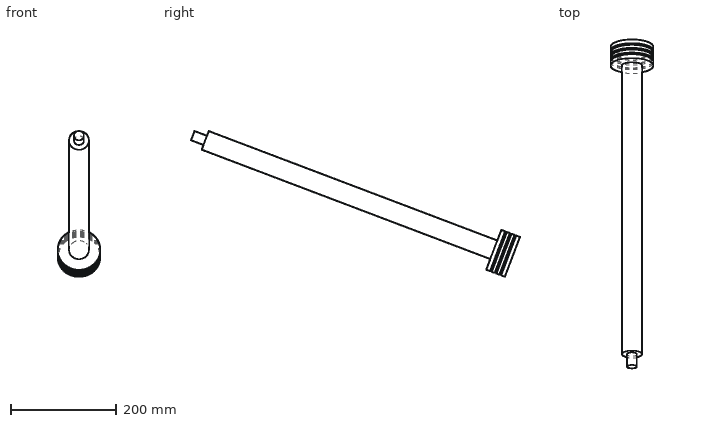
import cadquery as cq

tilt_angle = 20.764
total_length = 649.16
head_diameter = 81.28
head_length = 38.1
rod_diameter = 38.1
spigot_diameter = 19.05
spigot_length = 25.4

groove_count = 3
groove_width = 3.81
groove_depth = 1.905
groove_pitch = head_length / (groove_count + 1)

head_radius = head_diameter / 2
spigot_start = total_length - spigot_length


def cylinder(diameter, start, end):
    """Cylinder on the Z axis between two heights."""
    return cq.Workplane("XY").workplane(offset=start).circle(diameter / 2).extrude(end - start)


def ring_groove(center_height):
    """Ring of triangular section to remove from the rim of the head."""
    section = (
        cq.Workplane("XZ")
        .moveTo(head_radius, center_height - groove_width / 2)
        .lineTo(head_radius - groove_depth, center_height)
        .lineTo(head_radius, center_height + groove_width / 2)
        .close()
    )
    return section.revolve(360, (0, 0, 0), (0, 1, 0))


def make_head():
    """Grooved head with its back face at Z = 0."""
    head = cylinder(head_diameter, 0, head_length)
    for index in range(groove_count):
        head = head.cut(ring_groove((index + 1) * groove_pitch))
    return head


def make_piston():
    """Piston standing upright: head at the bottom, then the rod, then the spigot."""
    rod = cylinder(rod_diameter, head_length, spigot_start)
    spigot = cylinder(spigot_diameter, spigot_start, total_length)
    return make_head().union(rod).union(spigot)


result = make_piston().rotate((0, 0, 0), (1, 0, 0), 90 - tilt_angle)